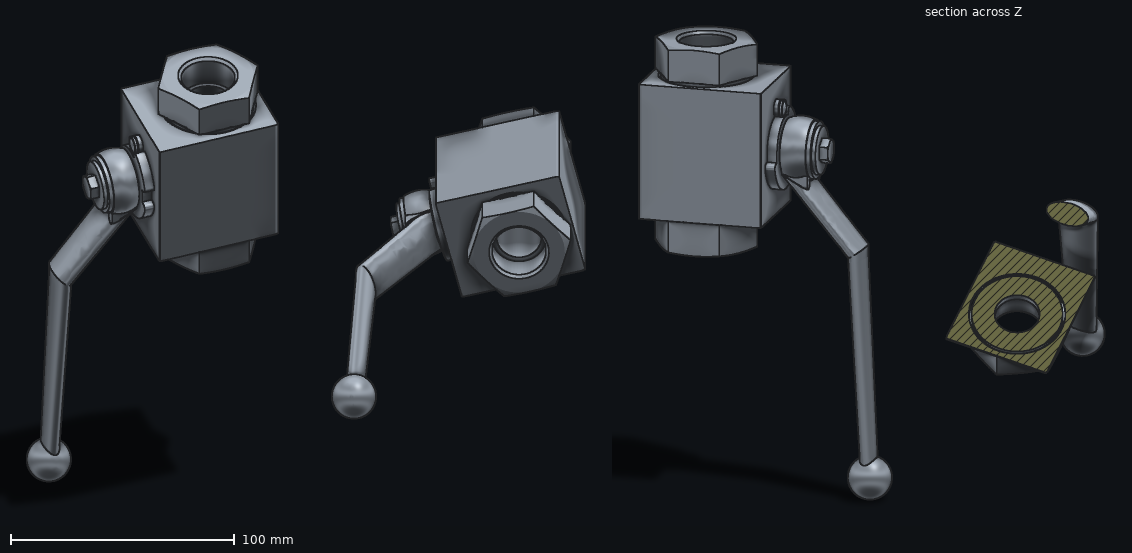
import cadquery as cq
import math


BLOCK_WIDTH = 49.0
BLOCK_HEIGHT = 62.3
BLOCK_BACK = 24.5
BLOCK_FRONT = -32.4
FRONT_BEVEL_INSET = 0.6
FRONT_BEVEL_DEPTH = 0.5
BACK_BEVEL_INSET = 0.5
BACK_BEVEL_DEPTH = 1.5
RECESS_DIAMETER = 43.0
RECESS_DEPTH = 0.6

FITTING_TOP = 47.8
HEX_FLATS = 41.1
HEX_END_DIAMETER = 41.0
HEX_CHAMFER_ANGLE = 15
COLLAR_DIAMETER = 41.0
COLLAR_LENGTH = 1.2

BORE_DIAMETER = 20.0
THREAD_DIAMETER = 24.0
THREAD_MOUTH_DIAMETER = 26.8
THREAD_DEPTH = 14.0

PLATE_THICKNESS = 4.5
PLATE_DISC_RADIUS = 14.7
PLATE_SECTOR_RADIUS = 18.9
PLATE_CORNER_RADIUS = 1.9
UPPER_SECTOR_ANGLES = (13, 75)
LOWER_SECTOR_ANGLES = (192, 348)

PIN_DIAMETER = 8.0
PIN_HEIGHT = 18.0
PIN_SHANK_LENGTH = 2.0
PIN_GROOVE_DIAMETER = 7.5
PIN_GROOVE_WIDTH = 0.5
PIN_HEAD_LENGTH = 1.2
PIN_CROWN_DIAMETER = 6.6
PIN_CROWN_HEIGHT = 1.0

NECK_DIAMETER = 22.0
NECK_LENGTH = 1.0
HUB_END_DIAMETER = 27.5
HUB_MIDDLE_DIAMETER = 30.0
HUB_LENGTH = 11.8
WASHER_DIAMETER = 26.0
WASHER_LENGTH = 2.0
CAP_DIAMETER = 22.0
CAP_LENGTH = 1.9
NUT_FLATS = 10.0
NUT_LENGTH = 4.2
NUT_CHAMFER = 0.5

ARM_ANGLE = 50
ARM_LENGTH = 47.8
ARM_TOP_WIDTH = 21.0
KNEE_WIDTH = 19.0
KNEE_OUTER = (-74.5, -42.8)
KNEE_INNER = (-66.7, -47.8)
KNEE_BOTTOM = -48.0
GRIP_END_Y = -75.4
GRIP_END_Z = -140.0
GRIP_END_WIDTH = 13.7
GRIP_END_THICKNESS = 7.5
BALL_DIAMETER = 20.0
BALL_Y = -76.0
BALL_Z = -150.0

GUSSET_OFFSET = 8.5
GUSSET_WIDTH = 4.2
GUSSET_BACK_Z = -9.5
GUSSET_FRONT_Z = -16.2

HEX_HALF_ANGLE = 30

PLATE_FRONT = BLOCK_FRONT - PLATE_THICKNESS
HUB_BACK = PLATE_FRONT - NECK_LENGTH
HUB_FRONT = HUB_BACK - HUB_LENGTH
WASHER_FRONT = HUB_FRONT - WASHER_LENGTH
CAP_FRONT = WASHER_FRONT - CAP_LENGTH


def facing_front(y):
    """Workplane at depth y, drawn in X and Z, whose extrusions grow toward -Y."""
    return cq.Workplane("XZ", origin=(0, y, 0))


def across_corners(flats):
    """Corner-to-corner size of a hexagon from its size across the flats."""
    return flats / math.cos(math.radians(HEX_HALF_ANGLE))


def polar(radius, angle):
    """Point at a radius and an angle in degrees."""
    return (radius * math.cos(math.radians(angle)), radius * math.sin(math.radians(angle)))


def block():
    """Block with slightly bevelled upright edges and a round recess at each end."""
    half_width = BLOCK_WIDTH / 2
    right_half = [
        (half_width - FRONT_BEVEL_INSET, BLOCK_FRONT),
        (half_width, BLOCK_FRONT + FRONT_BEVEL_DEPTH),
        (half_width, BLOCK_BACK - BACK_BEVEL_DEPTH),
        (half_width - BACK_BEVEL_INSET, BLOCK_BACK),
    ]
    left_half = [(-x, y) for x, y in reversed(right_half)]
    body = (
        cq.Workplane("XY", origin=(0, 0, -BLOCK_HEIGHT / 2))
        .polyline(right_half + left_half)
        .close()
        .extrude(BLOCK_HEIGHT)
    )
    for end in (">Z", "<Z"):
        body = (
            body.faces(end)
            .workplane(origin=(0, 0, 0))
            .circle(RECESS_DIAMETER / 2)
            .cutBlind(-RECESS_DEPTH)
        )
    return body


def fitting():
    """Upper hexagonal fitting with its collar; hexagon corners point along Y."""
    base = BLOCK_HEIGHT / 2
    hex_base = base + COLLAR_LENGTH
    corner_diameter = across_corners(HEX_FLATS)
    hexagon = (
        cq.Workplane("XY", origin=(0, 0, hex_base))
        .transformed(rotate=(0, 0, HEX_HALF_ANGLE))
        .polygon(6, corner_diameter)
        .extrude(FITTING_TOP - hex_base)
    )
    overhang = (corner_diameter - HEX_END_DIAMETER) / 2
    drop = overhang * math.tan(math.radians(HEX_CHAMFER_ANGLE))
    envelope = (
        cq.Workplane("XY", origin=(0, 0, hex_base))
        .circle(corner_diameter / 2)
        .extrude(FITTING_TOP - hex_base)
        .faces(">Z")
        .chamfer(drop, overhang)
    )
    collar = (
        cq.Workplane("XY", origin=(0, 0, base - RECESS_DEPTH))
        .circle(COLLAR_DIAMETER / 2)
        .extrude(RECESS_DEPTH + COLLAR_LENGTH)
    )
    return collar.union(hexagon.intersect(envelope))


def thread_bore():
    """Cutter for the upper threaded end with its countersunk mouth."""
    mouth_depth = (THREAD_MOUTH_DIAMETER - THREAD_DIAMETER) / 2
    radius = THREAD_DIAMETER / 2
    floor = FITTING_TOP - THREAD_DEPTH
    profile = [
        (0, floor),
        (radius, floor),
        (radius, FITTING_TOP - mouth_depth),
        (THREAD_MOUTH_DIAMETER / 2, FITTING_TOP),
        (0, FITTING_TOP),
    ]
    return cq.Workplane("XZ").polyline(profile).close().revolve(360, (0, 0, 0), (0, 1, 0))


def flow_bore():
    return cq.Workplane("XY").circle(BORE_DIAMETER / 2).extrude(FITTING_TOP, both=True)


def plate_sector(angles):
    """Sharp-cornered stop sector around the stem."""
    start, end = angles
    return (
        facing_front(BLOCK_FRONT)
        .lineTo(*polar(PLATE_SECTOR_RADIUS, start))
        .threePointArc(polar(PLATE_SECTOR_RADIUS, (start + end) / 2), polar(PLATE_SECTOR_RADIUS, end))
        .close()
        .extrude(PLATE_THICKNESS)
    )


def stop_plate():
    """Disc with straight shoulders and two stop sectors with rounded outer corners."""
    disc = facing_front(BLOCK_FRONT).circle(PLATE_DISC_RADIUS).extrude(PLATE_THICKNESS)
    shoulder_drop = -polar(PLATE_SECTOR_RADIUS, LOWER_SECTOR_ANGLES[0])[1]
    shoulders = (
        facing_front(BLOCK_FRONT)
        .center(0, -shoulder_drop / 2)
        .rect(2 * PLATE_DISC_RADIUS, shoulder_drop)
        .extrude(PLATE_THICKNESS)
    )
    plate = disc.union(shoulders)
    for angles in (UPPER_SECTOR_ANGLES, LOWER_SECTOR_ANGLES):
        sector = plate_sector(angles)
        for angle in angles:
            x, z = polar(PLATE_SECTOR_RADIUS, angle)
            corner = cq.selectors.NearestToPointSelector((x, (BLOCK_FRONT + PLATE_FRONT) / 2, z))
            sector = sector.edges("|Y").edges(corner).fillet(PLATE_CORNER_RADIUS)
        plate = plate.union(sector)
    return plate


def stop_pin():
    """Grooved pin with a domed crown."""
    radius = PIN_DIAMETER / 2
    groove_radius = PIN_GROOVE_DIAMETER / 2
    crown_radius = PIN_CROWN_DIAMETER / 2
    shank_end = PIN_SHANK_LENGTH
    groove_end = shank_end + PIN_GROOVE_WIDTH
    head_end = groove_end + PIN_HEAD_LENGTH
    tip = head_end + PIN_CROWN_HEIGHT
    sphere_radius = (crown_radius**2 + PIN_CROWN_HEIGHT**2) / (2 * PIN_CROWN_HEIGHT)
    half_angle = math.asin(crown_radius / sphere_radius) / 2
    crown_middle = (
        sphere_radius * math.sin(half_angle),
        tip - sphere_radius * (1 - math.cos(half_angle)),
    )
    pin = (
        cq.Workplane("XY")
        .lineTo(radius, 0)
        .lineTo(radius, shank_end)
        .lineTo(groove_radius, shank_end)
        .lineTo(groove_radius, groove_end)
        .lineTo(radius, groove_end)
        .lineTo(radius, head_end)
        .lineTo(crown_radius, head_end)
        .threePointArc(crown_middle, (0, tip))
        .close()
        .revolve(360, (0, 0, 0), (0, 1, 0))
    )
    return pin.rotate((0, 0, 0), (0, 0, 1), 180).translate((0, BLOCK_FRONT, PIN_HEIGHT))


def hub():
    """Neck, barrel-shaped hub, washer and cap as one turned body."""
    return (
        cq.Workplane("XY")
        .moveTo(0, BLOCK_FRONT)
        .lineTo(NECK_DIAMETER / 2, BLOCK_FRONT)
        .lineTo(NECK_DIAMETER / 2, HUB_BACK)
        .lineTo(HUB_END_DIAMETER / 2, HUB_BACK)
        .threePointArc(
            (HUB_MIDDLE_DIAMETER / 2, (HUB_BACK + HUB_FRONT) / 2),
            (HUB_END_DIAMETER / 2, HUB_FRONT),
        )
        .lineTo(WASHER_DIAMETER / 2, HUB_FRONT)
        .lineTo(WASHER_DIAMETER / 2, WASHER_FRONT)
        .lineTo(CAP_DIAMETER / 2, WASHER_FRONT)
        .lineTo(CAP_DIAMETER / 2, CAP_FRONT)
        .lineTo(0, CAP_FRONT)
        .close()
        .revolve(360, (0, 0, 0), (0, 1, 0))
    )


def stem_nut():
    """Hexagon at the stem end, corners up and down, with a turned chamfer."""
    corner_diameter = across_corners(NUT_FLATS)
    hexagon = (
        facing_front(CAP_FRONT)
        .transformed(rotate=(0, 0, HEX_HALF_ANGLE))
        .polygon(6, corner_diameter)
        .extrude(NUT_LENGTH)
    )
    envelope = (
        facing_front(CAP_FRONT)
        .circle(corner_diameter / 2)
        .extrude(NUT_LENGTH)
        .faces("<Y")
        .chamfer(NUT_CHAMFER)
    )
    return hexagon.intersect(envelope)


def bar_section(outer, inner, width):
    """Elliptic bar outline spanning two (y, z) points on the lever's faces."""
    thickness = math.dist(outer, inner)
    centre = (0, (outer[0] + inner[0]) / 2, (outer[1] + inner[1]) / 2)
    normal = (0, inner[1] - outer[1], outer[0] - inner[0])
    plane = cq.Plane(origin=centre, xDir=(1, 0, 0), normal=normal)
    return cq.Workplane(plane).ellipse(width / 2, thickness / 2).wire().val()


def along_arm(point):
    """Shift a (y, z) point up the arm from the knee to inside the hub."""
    y, z = point
    run, rise = polar(ARM_LENGTH, ARM_ANGLE)
    return (y + run, z + rise)


def lever():
    """Sloping arm, bent grip and end ball, cut off flush with the back of the hub."""
    grip_front = GRIP_END_Y - GRIP_END_THICKNESS / 2
    grip_back = GRIP_END_Y + GRIP_END_THICKNESS / 2
    sections = [
        bar_section(along_arm(KNEE_OUTER), along_arm(KNEE_INNER), ARM_TOP_WIDTH),
        bar_section(KNEE_OUTER, KNEE_INNER, KNEE_WIDTH),
        bar_section((KNEE_OUTER[0], KNEE_BOTTOM), (KNEE_INNER[0], KNEE_BOTTOM), KNEE_WIDTH),
        bar_section((grip_front, GRIP_END_Z), (grip_back, GRIP_END_Z), GRIP_END_WIDTH),
        bar_section((grip_front, BALL_Z), (grip_back, BALL_Z), GRIP_END_WIDTH),
    ]
    bar = cq.Workplane(cq.Solid.makeLoft(sections, True))
    behind_hub = (
        cq.Workplane("XY")
        .box(BLOCK_WIDTH, -HUB_BACK, BLOCK_HEIGHT)
        .translate((0, HUB_BACK / 2, 0))
    )
    ball = cq.Workplane("XY").sphere(BALL_DIAMETER / 2).translate((0, BALL_Y, BALL_Z))
    return bar.cut(behind_hub).union(ball)


def gusset(side):
    """Fills the corner between the hub and one rounded side of the lever."""
    profile = [
        (HUB_BACK, GUSSET_BACK_Z),
        (HUB_FRONT, GUSSET_BACK_Z),
        (HUB_FRONT, GUSSET_FRONT_Z),
    ]
    offset = side * GUSSET_OFFSET
    wedge = (
        cq.Workplane("YZ", origin=(offset, 0, 0))
        .polyline(profile)
        .close()
        .extrude(GUSSET_WIDTH / 2, both=True)
    )
    rounding = facing_front(HUB_BACK).center(offset, 0).slot2D(-2 * GUSSET_FRONT_Z, GUSSET_WIDTH, 90)
    return wedge.intersect(rounding.extrude(HUB_LENGTH))


result = block()
upper_fitting = fitting()
upper_thread = thread_bore()
result = result.union(upper_fitting).union(upper_fitting.mirror("XY"))
result = result.cut(flow_bore()).cut(upper_thread).cut(upper_thread.mirror("XY"))
result = result.union(stop_plate()).union(stop_pin())
handle = hub().union(lever())
for side in (-1, 1):
    handle = handle.union(gusset(side))
result = result.union(handle).union(stem_nut())